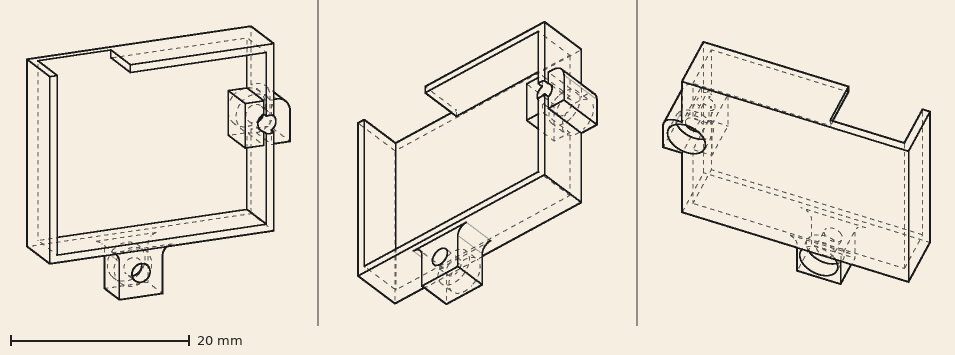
import cadquery as cq

box_depth = 6.4
box_length = 27.4
box_height = 22.25
panel_thickness = 0.98
wall = 0.92
notch_length = 8.95

tab_width = 5.3
tab_back = 5.7
overall_length = 29.7
overall_height = 28.0
box_bottom = overall_height - box_height
hole_diameter = 2.2
counterbore_diameter = 4.6

side_hole_y = 26.85
side_hole_z = 18.47
side_inner_y = side_hole_y - tab_width / 2
side_corner_radius = 1.63
side_counterbore_depth = 2.32

lower_hole_y = 11.45
lower_hole_z = 2.82
lower_front = 1.48
lower_fillet_radius = 1.25
lower_counterbore_depth = 1.87


def block(x_range, y_range, z_range):
    """Axis-aligned block between the given limits."""
    lows, highs = zip(x_range, y_range, z_range)
    sizes = [high - low for low, high in zip(lows, highs)]
    return cq.Workplane("XY").box(*sizes, centered=False).translate(lows)


def cylinder(diameter, x_range, y, z):
    """Cylinder along X, centred on the given Y and Z."""
    start, end = x_range
    return cq.Workplane("YZ", origin=(start, y, z)).circle(diameter / 2).extrude(end - start)


def cut_screw_hole(body, front, counterbore_depth, y, z):
    """Hole through a tab and anything behind it, counterbored from the tab's -X face."""
    hole = cylinder(hole_diameter, (front, box_depth), y, z)
    counterbore = cylinder(counterbore_diameter, (front, front + counterbore_depth), y, z)
    return body.cut(hole).cut(counterbore)


def make_box():
    """Hollow box with a notch through the top wall beside the -Y wall."""
    outside = block((0, box_depth), (0, box_length), (box_bottom, overall_height))
    cavity = block(
        (panel_thickness, box_depth),
        (wall, box_length - wall),
        (box_bottom + wall, overall_height - wall),
    )
    notch = block(
        (panel_thickness, box_depth),
        (wall, wall + notch_length),
        (overall_height - wall, overall_height),
    )
    return outside.cut(cavity).cut(notch)


def make_side_tab():
    """Tab through the +Y wall, continuing inside the box behind the counterbore."""
    tab = block(
        (0, tab_back),
        (side_inner_y, overall_length),
        (side_hole_z - tab_width / 2, side_hole_z + tab_width / 2),
    )
    return tab.edges("|X and >Y and >Z").fillet(side_corner_radius)


def make_lower_tab():
    """Tab below the box, flaring into the bottom wall through concave arcs."""
    left = lower_hole_y - tab_width / 2
    right = lower_hole_y + tab_width / 2
    radius = lower_fillet_radius
    arc_start = box_bottom - radius
    return (
        cq.Workplane("YZ", origin=(lower_front, 0, 0))
        .moveTo(left, 0)
        .lineTo(right, 0)
        .lineTo(right, arc_start)
        .radiusArc((right + radius, box_bottom), radius)
        .lineTo(right + radius, box_bottom + wall)
        .lineTo(left - radius, box_bottom + wall)
        .lineTo(left - radius, box_bottom)
        .radiusArc((left, arc_start), radius)
        .close()
        .extrude(tab_back - lower_front)
    )


result = make_box().union(make_side_tab()).union(make_lower_tab())
result = cut_screw_hole(result, 0, side_counterbore_depth, side_hole_y, side_hole_z)
result = cut_screw_hole(result, lower_front, lower_counterbore_depth, lower_hole_y, lower_hole_z)